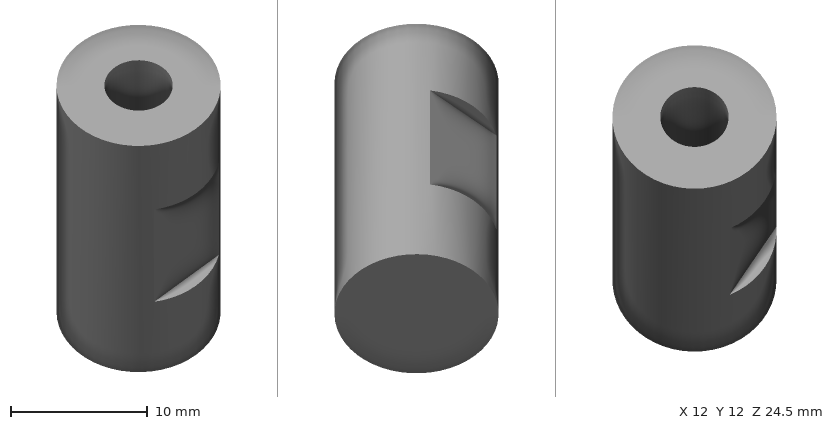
import cadquery as cq

body_length = 24.5
body_diameter = 12.0

hole_diameter = 5.0
hole_depth = 10.0

across_flats = 10.0
flat_length = 10.0
flat_bottom = 7.5


def make_flat_cut(side):
    """Block that removes the body beyond one flat; side is -1 or +1 along X."""
    cut_depth = (body_diameter - across_flats) / 2
    block_depth = 2 * cut_depth
    block_center = side * (across_flats + block_depth) / 2
    return (
        cq.Workplane("XY")
        .box(block_depth, body_diameter, flat_length, centered=(True, True, False))
        .translate((block_center, 0, flat_bottom))
    )


result = cq.Workplane("XY").circle(body_diameter / 2).extrude(body_length)
result = result.faces(">Z").workplane().circle(hole_diameter / 2).cutBlind(-hole_depth)

for side in (-1, 1):
    result = result.cut(make_flat_cut(side))